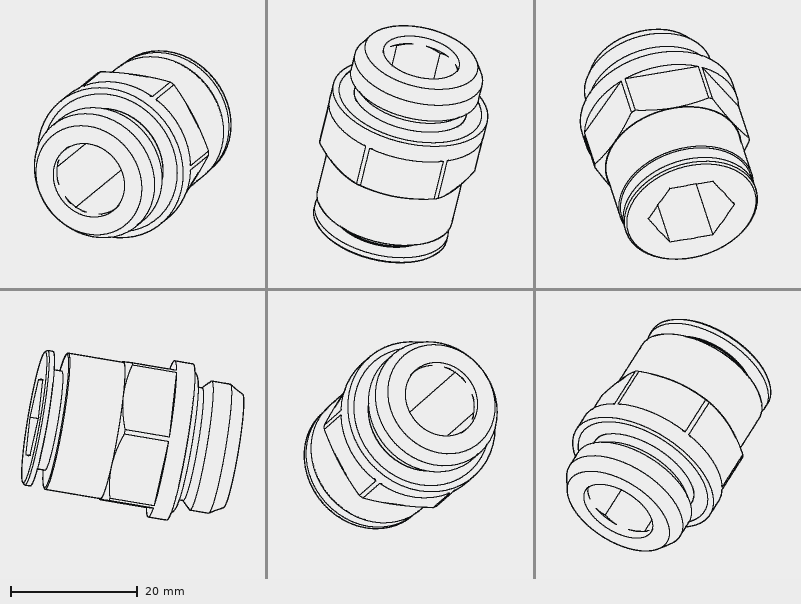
import cadquery as cq
import math

length = 31.9
front = -length / 2

nose_end = 2.2
thread_end = 5.17
relief_start = 6.48
flange_start = 8.52
flange_end = 11.48
hex_end = 19.45
body_edge_start = 28.3
body_edge_end = 28.45
body_end = 28.85
sleeve_end = 30.45
collar_start = 30.72

nose_radius = 9.1
thread_radius = 10.35
relief_radius = 9.03
flange_radius = 12.5
body_radius = 10.9
body_edge_radius = 10.7
sleeve_radius = 7.95
stem_radius = 7.8
collar_radius = 10.78
collar_chamfer = 0.32

ring_outer_radius = 11.5
ring_section_radius = (ring_outer_radius - relief_radius) / 2
ring_centre_radius = relief_radius + ring_section_radius
ring_front = 7.55

hex_apothem = 11.0
hex_chamfer_angle = 30.0

bore_radius = 6.12
socket_apothem = 6.03
socket_start = 1.45


def revolve_outline(points):
    """Turn a closed outline of (radius, distance from front) points about Y."""
    outline = [(radius, front + distance) for radius, distance in points]
    return cq.Workplane("XY").polyline(outline).close().revolve(360, (0, 0), (0, 1))


def hexagonal_prism(apothem, start, end):
    """Prism along Y with flats facing +Z and -Z."""
    corner_diameter = 2 * apothem / math.cos(math.radians(30))
    plane = cq.Workplane("XZ", origin=(0, front + end, 0))
    return plane.polygon(6, corner_diameter).extrude(end - start)


def turned_body():
    return revolve_outline([
        (0, 0),
        (nose_radius, 0),
        (thread_radius, nose_end),
        (thread_radius, thread_end),
        (relief_radius, relief_start),
        (relief_radius, flange_start),
        (flange_radius, flange_start),
        (flange_radius, flange_end),
        (body_radius, flange_end),
        (body_radius, body_edge_start),
        (body_edge_radius, body_edge_end),
        (sleeve_radius, body_end),
        (sleeve_radius, sleeve_end),
        (stem_radius, sleeve_end),
        (stem_radius, collar_start),
        (collar_radius, collar_start),
        (collar_radius, length - collar_chamfer),
        (collar_radius - collar_chamfer, length),
        (0, length),
    ])


def wrench_hexagon():
    """Hexagon with corners rounded to the flange radius and a conical rear chamfer."""
    chamfer_length = (flange_radius - hex_apothem) * math.tan(math.radians(hex_chamfer_angle))
    envelope = revolve_outline([
        (0, flange_end),
        (flange_radius, flange_end),
        (flange_radius, hex_end - chamfer_length),
        (hex_apothem, hex_end),
        (0, hex_end),
    ])
    return hexagonal_prism(hex_apothem, flange_end, hex_end).intersect(envelope)


def sealing_ring():
    centre = (ring_centre_radius, front + ring_front + ring_section_radius)
    section = cq.Workplane("XY").center(*centre).circle(ring_section_radius)
    axis_start = (-centre[0], 0)
    axis_end = (-centre[0], 1)
    return section.revolve(360, axis_start, axis_end)


def key_socket():
    """Internal hexagon whose corners run out in a 45 degree cone at the front."""
    corner_radius = socket_apothem / math.cos(math.radians(30))
    envelope = revolve_outline([
        (0, socket_start),
        (bore_radius, socket_start),
        (corner_radius, socket_start + corner_radius - bore_radius),
        (corner_radius, length),
        (0, length),
    ])
    return hexagonal_prism(socket_apothem, socket_start, length).intersect(envelope)


bore = revolve_outline([(0, 0), (bore_radius, 0), (bore_radius, length), (0, length)])
solid_body = turned_body().union(wrench_hexagon()).union(sealing_ring())
result = solid_body.cut(bore).cut(key_socket())